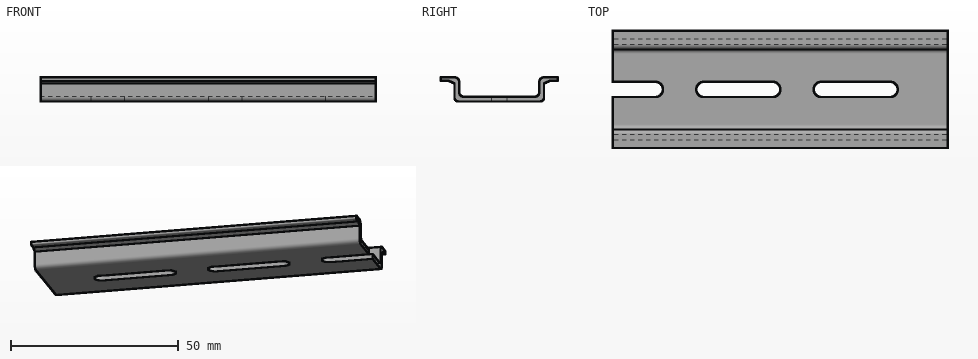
import cadquery as cq

length = 100.0
width = 35.0
height = 7.3

thickness = 1.5
lip_thickness = 1.1
channel_width = 26.8
bend_radius = 1.3
shoulder_radius = 1.5
tip_radius = 0.3
lip_flat_start = 15.1
lip_root_depth = 1.9

slot_width = 4.5
slot_length = 25.0
slot_pitch = 35.0
slot_count = 3
first_slot_start = -10.0

half_width = width / 2
outer_wall = channel_width / 2
inner_wall = outer_wall - thickness


def make_rail():
    """Top-hat section, extruded along X, with its bends rounded."""
    right_side = [
        (outer_wall, 0),
        (outer_wall, height - lip_root_depth),
        (lip_flat_start, height - lip_thickness),
        (half_width, height - lip_thickness),
        (half_width, height),
        (inner_wall, height),
        (inner_wall, thickness),
    ]
    left_side = [(-y, z) for y, z in reversed(right_side)]
    rail = (
        cq.Workplane("YZ", origin=(-length / 2, 0, 0))
        .polyline(right_side + left_side)
        .close()
        .extrude(length)
    )

    def edges_at(y, z):
        """Select the mirrored pair of lengthwise edges at (+-y, z)."""
        points = [(0, y, z), (0, -y, z)]
        selectors = [cq.selectors.NearestToPointSelector(point) for point in points]
        return rail.edges("|X").edges(selectors[0] + selectors[1])

    bends = [
        (outer_wall, 0, bend_radius),
        (inner_wall, thickness, bend_radius),
        (inner_wall, height, shoulder_radius),
    ]
    for y, z, radius in bends:
        rail = edges_at(y, z).fillet(radius)
    for z in (height - lip_thickness, height):
        rail = edges_at(half_width, z).fillet(tip_radius)
    return rail


def make_slots():
    """Row of round-ended cutters passing through the floor."""
    first_center = -length / 2 + first_slot_start + slot_length / 2
    centers = [(first_center + i * slot_pitch, 0) for i in range(slot_count)]
    return (
        cq.Workplane("XY")
        .pushPoints(centers)
        .slot2D(slot_length, slot_width)
        .extrude(thickness)
    )


result = make_rail().cut(make_slots())